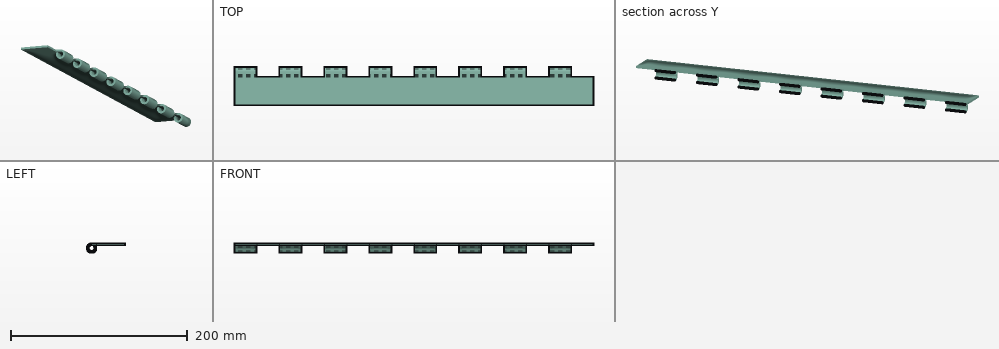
import cadquery as cq
import math

length = 406.5
depth = 43.5
thickness = 2.3

knuckle_count = 8
knuckle_pitch = length / knuckle_count
knuckle_length = knuckle_pitch / 2
knuckle_diameter = 11.0
outer_radius = knuckle_diameter / 2
bore_radius = outer_radius - thickness
roll_end_angle = math.radians(33)

axis_y = depth - outer_radius
axis_z = outer_radius
plate_bottom = knuckle_diameter - thickness
notch_y = depth - knuckle_diameter


def roll_point(radius, angle):
    """Point on the roll; the angle rises from the -Y direction."""
    return (axis_y - radius * math.cos(angle), axis_z + radius * math.sin(angle))


def knuckle(start_x):
    """A flat tongue curling over +Y and back up to just under the plate."""
    middle_angle = (roll_end_angle - 1.5 * math.pi) / 2
    return (
        cq.Workplane("YZ", origin=(start_x, 0, 0))
        .moveTo(notch_y, knuckle_diameter)
        .lineTo(axis_y, knuckle_diameter)
        .threePointArc(roll_point(outer_radius, middle_angle), roll_point(outer_radius, roll_end_angle))
        .lineTo(*roll_point(bore_radius, roll_end_angle))
        .threePointArc(roll_point(bore_radius, middle_angle), (axis_y, plate_bottom))
        .lineTo(notch_y, plate_bottom)
        .close()
        .extrude(knuckle_length)
    )


result = cq.Workplane("XY").box(length, notch_y, thickness, centered=False).translate((0, 0, plate_bottom))
for index in range(knuckle_count):
    result = result.union(knuckle(index * knuckle_pitch))